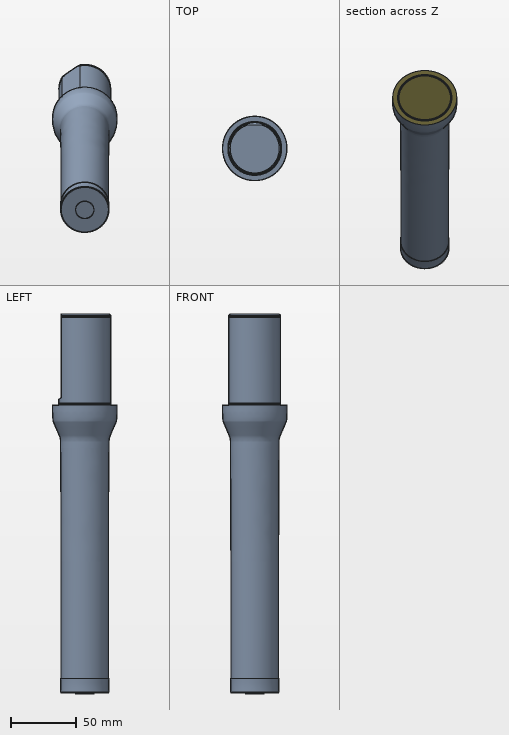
import cadquery as cq
import math

total_height = 292.0

tube_radius = 36.8 / 2
grip_radius = 37.5 / 2
collar_radius = 49.5 / 2
nub_radius = 7.0
nub_height = 1.0
cap_top = 12.0
cap_edge_chamfer = 0.5
cap_waist_radius = 37.0 / 2
tube_top = 101.5
grip_taper_top = 188.5
neck_top = 194.0
flare_top = 216.7
collar_top = 222.0
flare_arc_radius = 34.0
seat_radius = 20.7
seat_depth = 1.5

barrel_radius = 40.0 / 2
barrel_bottom = collar_top - seat_depth
groove_radius = 39.5 / 2
groove_width = 1.0
lower_groove_inset = 1.0
upper_groove_inset = 2.0
barrel_edge_chamfer = 1.2
flat_distance = 18.0
flat_bottom = 226.3
flat_runout = 1.5


def make_housing():
    flare_step = collar_radius - grip_radius
    flare_height = flare_top - neck_top
    radius_sum = (flare_step**2 + flare_height**2) / (2 * flare_step)
    neck_arc_radius = radius_sum - flare_arc_radius
    sweep = math.asin(flare_height / radius_sum)

    def neck_point(angle):
        return (
            grip_radius + neck_arc_radius * (1 - math.cos(angle)),
            neck_top + neck_arc_radius * math.sin(angle),
        )

    def flare_point(angle):
        return (
            collar_radius - flare_arc_radius * (1 - math.cos(angle)),
            flare_top - flare_arc_radius * math.sin(angle),
        )

    flare_points = [
        neck_point(sweep / 2),
        neck_point(sweep),
        flare_point(sweep / 2),
        (collar_radius, flare_top),
    ]
    body = (
        cq.Workplane("XZ")
        .moveTo(0, cap_top)
        .lineTo(tube_radius, cap_top)
        .lineTo(tube_radius, tube_top)
        .lineTo(grip_radius, grip_taper_top)
        .lineTo(grip_radius, neck_top)
        .spline(flare_points, tangents=[(0, 1), (0, 1)], includeCurrent=True)
        .lineTo(collar_radius, collar_top)
        .lineTo(0, collar_top)
        .close()
        .revolve(360, (0, 0, 0), (0, 1, 0))
    )
    cap_middle = (nub_height + cap_edge_chamfer + cap_top) / 2
    cap = (
        cq.Workplane("XZ")
        .moveTo(0, nub_height)
        .lineTo(grip_radius - cap_edge_chamfer, nub_height)
        .lineTo(grip_radius, nub_height + cap_edge_chamfer)
        .threePointArc((cap_waist_radius, cap_middle), (grip_radius, cap_top))
        .lineTo(0, cap_top)
        .close()
        .revolve(360, (0, 0, 0), (0, 1, 0))
    )
    nub = cq.Workplane("XY").circle(nub_radius).extrude(nub_height)
    seat = (
        cq.Workplane("XY")
        .workplane(offset=barrel_bottom)
        .circle(seat_radius)
        .extrude(seat_depth)
    )
    return body.union(cap).union(nub).cut(seat)


def make_groove(bottom):
    return (
        cq.Workplane("XY")
        .workplane(offset=bottom)
        .circle(collar_radius)
        .circle(groove_radius)
        .extrude(groove_width)
    )


def make_flat_cutter():
    return (
        cq.Workplane("YZ")
        .moveTo(flat_distance, total_height)
        .lineTo(flat_distance, flat_bottom + flat_runout)
        .lineTo(barrel_radius, flat_bottom)
        .lineTo(collar_radius, flat_bottom)
        .lineTo(collar_radius, total_height)
        .close()
        .extrude(barrel_radius, both=True)
    )


def make_barrel():
    barrel = (
        cq.Workplane("XY")
        .workplane(offset=barrel_bottom)
        .circle(barrel_radius)
        .extrude(total_height - barrel_bottom)
        .faces(">Z")
        .edges()
        .chamfer(barrel_edge_chamfer)
    )
    groove_bottoms = (
        collar_top + lower_groove_inset,
        total_height - upper_groove_inset - groove_width,
    )
    for bottom in groove_bottoms:
        barrel = barrel.cut(make_groove(bottom))
    return barrel.cut(make_flat_cutter())


housing = make_housing()
barrel = make_barrel()
result = cq.Compound.makeCompound([housing.val(), barrel.val()])